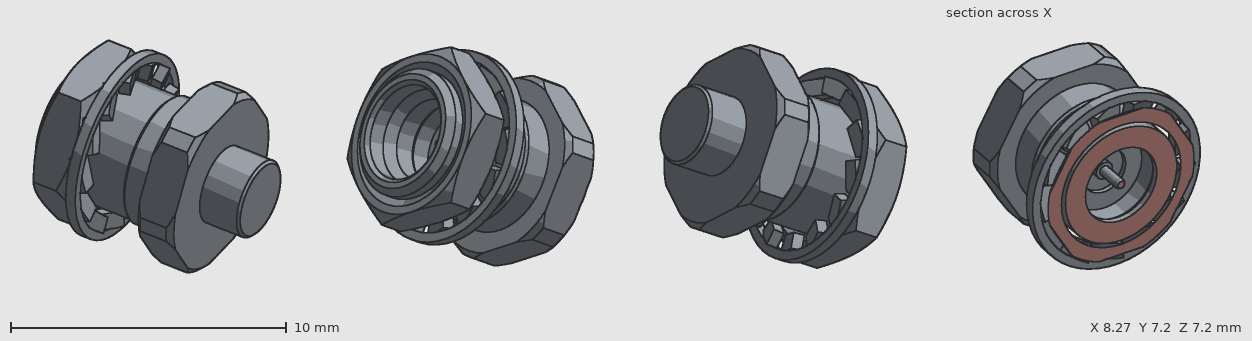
import cadquery as cq
import math


hexagon_cosine = math.cos(math.pi / 6)

thread_radius = 2.4
front_rim_radius = 2.145
front_chamfer_length = 0.26
thread_end = 3.92
collar_radius = 2.495
collar_chamfer = collar_radius - thread_radius
tail_radius = 1.5
tail_end = 8.27
tail_chamfer = 0.1

nut_front = 0.455
nut_thickness = 1.5
nut_across_flats = 6.0
nut_chamfer_angle = 30
nut_countersink_radius = 2.7
nut_countersink_angle = 30

flange_front = 5.08
flange_thickness = 1.52
flange_across_flats = 6.33
flange_corner_radius = 3.485
flange_chamfer = 0.21

bore_mouth_radius = 1.925
bore_mouth_chamfer = 0.15
entry_radius = bore_mouth_radius - bore_mouth_chamfer
entry_end = 0.83
throat_radius = 1.52
throat_end = 2.1
detent_radius = 1.6
bore_cone_angle = 30
bore_depth = 3.0

recess_radius = 0.91
recess_depth = 0.2
pin_shoulder_radius = 0.345
pin_radius = 0.2
pin_tip = 1.8

washer_front = 2.19
washer_thickness = 0.41
washer_radius = 3.6
ring_inner_radius = 3.25
tooth_inner_radius = 2.6
tooth_count = 13
tooth_half_angle = 12
tooth_twist = 21


def turned(outline):
    """Revolve a closed (X, radius) outline about the X axis."""
    return outline.close().revolve(360, (0, 0, 0), (1, 0, 0))


def cylinder(front, length, radius):
    """Solid cylinder along X, starting at X = front."""
    return cq.Workplane("YZ").workplane(offset=front).circle(radius).extrude(length)


def chamfered_hexagon(front, thickness, across_flats, face_radius, corner_radius, chamfer_length):
    """Hexagonal prism with corners toward +Y and -Y, turned to a double-chamfered envelope."""
    corner_diameter = across_flats / hexagon_cosine
    back = front + thickness
    prism = cq.Workplane("YZ").workplane(offset=front).polygon(6, corner_diameter).extrude(thickness)
    envelope = turned(
        cq.Workplane("XY")
        .moveTo(front, 0)
        .lineTo(front, face_radius)
        .lineTo(front + chamfer_length, corner_radius)
        .lineTo(back - chamfer_length, corner_radius)
        .lineTo(back, face_radius)
        .lineTo(back, 0)
    )
    return prism.intersect(envelope)


def make_barrel():
    barrel = turned(
        cq.Workplane("XY")
        .lineTo(0, front_rim_radius)
        .lineTo(front_chamfer_length, thread_radius)
        .lineTo(thread_end, thread_radius)
        .lineTo(thread_end + collar_chamfer, collar_radius)
        .lineTo(flange_front, collar_radius)
        .lineTo(flange_front, 0)
    )
    tail = cylinder(flange_front, tail_end - flange_front, tail_radius)
    tail = tail.faces(">X").edges().chamfer(tail_chamfer)
    flange = chamfered_hexagon(
        flange_front,
        flange_thickness,
        flange_across_flats,
        flange_corner_radius - flange_chamfer,
        flange_corner_radius,
        flange_chamfer,
    )
    return barrel.union(flange).union(tail)


def make_nut():
    face_radius = nut_across_flats / 2
    corner_radius = face_radius / hexagon_cosine
    chamfer_length = (corner_radius - face_radius) * math.tan(math.radians(nut_chamfer_angle))
    nut = chamfered_hexagon(
        nut_front, nut_thickness, nut_across_flats, face_radius, corner_radius, chamfer_length
    )
    nut_back = nut_front + nut_thickness
    sink_width = nut_countersink_radius - thread_radius
    sink_depth = sink_width * math.tan(math.radians(nut_countersink_angle))
    bore = turned(
        cq.Workplane("XY")
        .moveTo(nut_front, 0)
        .lineTo(nut_front, nut_countersink_radius)
        .lineTo(nut_front + sink_depth, thread_radius)
        .lineTo(nut_back - sink_depth, thread_radius)
        .lineTo(nut_back, nut_countersink_radius)
        .lineTo(nut_back, 0)
    )
    return nut.cut(bore)


def make_bore():
    cone_slope = math.tan(math.radians(bore_cone_angle))
    cone_length = (entry_radius - throat_radius) / cone_slope
    detent_length = (detent_radius - throat_radius) / cone_slope
    bore = turned(
        cq.Workplane("XY")
        .lineTo(0, bore_mouth_radius)
        .lineTo(bore_mouth_chamfer, entry_radius)
        .lineTo(entry_end, entry_radius)
        .lineTo(entry_end + cone_length, throat_radius)
        .lineTo(throat_end, throat_radius)
        .lineTo(throat_end + detent_length, detent_radius)
        .lineTo(bore_depth, detent_radius)
        .lineTo(bore_depth, 0)
    )
    return bore.union(cylinder(bore_depth, recess_depth, recess_radius))


def make_pin():
    """Round-nosed pin standing on a shoulder that rises level with the bore floor."""
    pin_base = bore_depth + recess_depth
    round_start = pin_tip + pin_radius
    arc_reach = pin_radius * math.sin(math.radians(45))
    return turned(
        cq.Workplane("XY")
        .moveTo(pin_tip, 0)
        .threePointArc((round_start - arc_reach, arc_reach), (round_start, pin_radius))
        .lineTo(bore_depth, pin_radius)
        .lineTo(bore_depth, pin_shoulder_radius)
        .lineTo(pin_base, pin_shoulder_radius)
        .lineTo(pin_base, 0)
    )


def make_connector():
    """Barrel, flange, tail, nut and contact pin as one solid."""
    return make_barrel().cut(make_bore()).union(make_nut()).union(make_pin())


def make_tooth():
    """Tapered plate pointing inward from +Z, twisted about its radial centre line."""
    taper = math.tan(math.radians(tooth_half_angle))
    inner_half_width = tooth_inner_radius * taper
    outer_half_width = washer_radius * taper
    return (
        cq.Workplane("YZ")
        .moveTo(-inner_half_width, tooth_inner_radius)
        .lineTo(inner_half_width, tooth_inner_radius)
        .lineTo(outer_half_width, washer_radius)
        .lineTo(-outer_half_width, washer_radius)
        .close()
        .extrude(washer_thickness / 2, both=True)
        .rotate((0, 0, 0), (0, 0, 1), tooth_twist)
        .translate((washer_front + washer_thickness / 2, 0, 0))
        .intersect(cylinder(0, tail_end, ring_inner_radius))
    )


def make_washer():
    """Flat ring with twisted inner teeth; one gap between teeth faces -Y."""
    washer = cylinder(washer_front, washer_thickness, washer_radius).cut(
        cylinder(washer_front, washer_thickness, ring_inner_radius)
    )
    tooth = make_tooth()
    pitch = 360 / tooth_count
    for index in range(tooth_count):
        angle = 90 + (index + 0.5) * pitch
        washer = washer.union(tooth.rotate((0, 0, 0), (1, 0, 0), angle))
    return washer


connector = make_connector()
lock_washer = make_washer()
result = cq.Compound.makeCompound([connector.val(), lock_washer.val()])